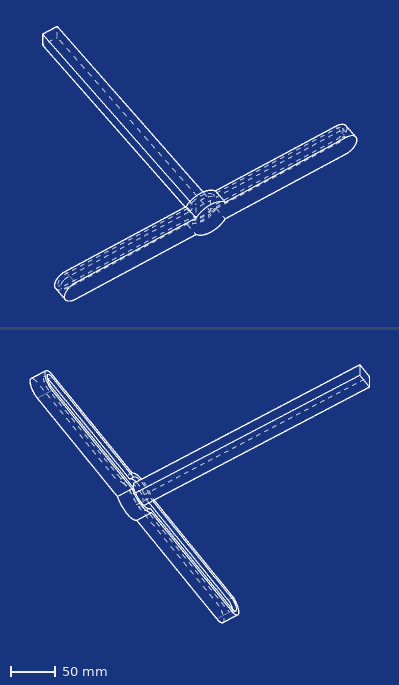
import cadquery as cq

bar_length = 400.0
bar_width = 30.0
bar_thickness = 20.0
hub_diameter = 50.0

rim_width = 5.0
recess_depth = 5.0

post_side = 20.0
post_exposed_length = 300.0


def crossbar_profile(inset, start_x, depth):
    """Extrude the round-ended bar and hub outline, inset evenly, along +X."""
    plane = cq.Workplane("YZ", origin=(start_x, 0, 0))
    bar = plane.slot2D(bar_length - 2 * inset, bar_width - 2 * inset).extrude(depth)
    hub = plane.circle(hub_diameter / 2 - inset).extrude(depth)
    return bar.union(hub)


def make_crossbar():
    """Crossbar with its rim face at X = 0 and the recess cut into that face."""
    body = crossbar_profile(0, 0, bar_thickness)
    recess = crossbar_profile(rim_width, 0, recess_depth)
    return body.cut(recess)


def make_post():
    """Square post from its free end to the floor of the recess."""
    return (
        cq.Workplane("YZ", origin=(-post_exposed_length, 0, 0))
        .rect(post_side, post_side)
        .extrude(post_exposed_length + recess_depth)
    )


result = make_crossbar().union(make_post())